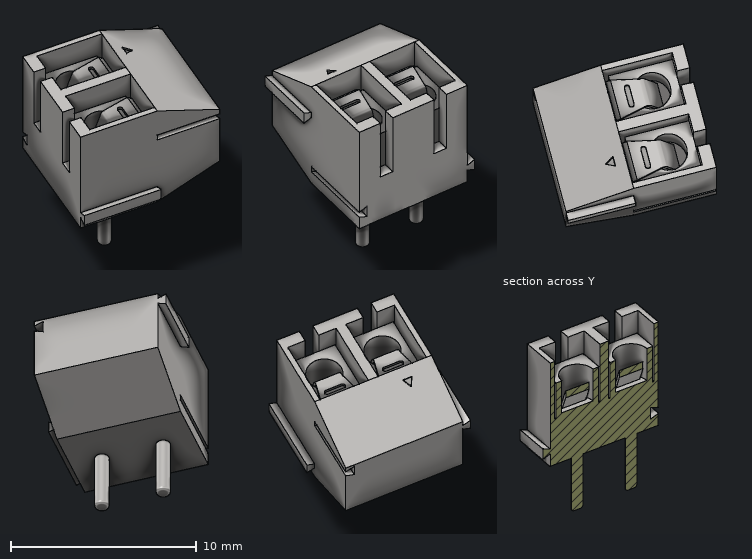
import cadquery as cq
import math


body_width = 7.06
body_depth = 8.4
body_height = 6.8
shoulder_y = 4.62
slope_drop = 1.47
pole_pitch = 3.5
pole_positions = [-pole_pitch / 2, pole_pitch / 2]

rib_depth = 0.47
groove_depth = 0.52
dovetail_neck = 0.35
dovetail_width = 0.72
front_dovetail_z = 0.99
rear_dovetail_z = 4.81

pocket_width = 2.91
pocket_front_y = 0.71
pocket_floor_z = 3.01
slot_width = 0.81

cage_width = 2.79
cage_back_y = 4.3
cage_top_z = 5.35
well_radius = 1.01
well_y = 2.21

plate_thickness = 0.16
plate_wide = 2.22
plate_narrow = 1.53
lip_back_y = 4.51
lip_front_y = 4.25
bend_start_y = 2.74
tongue_end_y = 1.73
tongue_angle = 70.0
bend_radius = 0.27
plate_slot_length = 1.24
plate_slot_width = 0.29
plate_slot_y = 3.49

bush_radius = plate_narrow / 2
bush_z = 4.12

pin_radius = 0.4
pin_length = 3.5
pin_y = 2.32
pin_tip_radius = 0.2

mark_width = 0.54
mark_length = 0.47
mark_base_y = 5.26
mark_depth = 0.1

tongue_slope = math.radians(tongue_angle)
plate_top_z = cage_top_z + plate_thickness
bend_center_z = plate_top_z - bend_radius
bend_end_y = bend_start_y - bend_radius * math.sin(tongue_slope)
bend_end_z = bend_center_z + bend_radius * math.cos(tongue_slope)
well_floor_z = bend_end_z - (bend_end_y - tongue_end_y) * math.tan(tongue_slope)


def block(x_center, width, y_start, y_end, z_start, z_end):
    """Box centred on x_center and spanning the given Y and Z ranges."""
    return cq.Workplane("XY").box(
        width, y_end - y_start, z_end - z_start, centered=(True, False, False)
    ).translate((x_center, y_start, z_start))


def extrude_along_x(profile, width):
    """Extrude a YZ profile symmetrically about X = 0."""
    return profile.extrude(width / 2, both=True)


def dovetail(neck_x, depth, z_center, y_start, y_end):
    """Bar along Y that widens from its neck towards +X, or -X for a negative depth."""
    half_neck = dovetail_neck / 2
    half_width = dovetail_width / 2
    return (
        cq.Workplane("XZ", origin=(neck_x, y_start, z_center))
        .moveTo(0, -half_neck)
        .lineTo(depth, -half_width)
        .lineTo(depth, half_width)
        .lineTo(0, half_neck)
        .close()
        .extrude(y_start - y_end)
    )


def housing():
    profile = cq.Workplane("YZ").polyline([
        (0, 0),
        (shoulder_y, 0),
        (body_depth, slope_drop),
        (body_depth, body_height - slope_drop),
        (shoulder_y, body_height),
        (0, body_height),
    ]).close()
    side_x = body_width / 2
    front = (front_dovetail_z, 0, shoulder_y)
    rear = (rear_dovetail_z, shoulder_y, body_depth)
    return (
        extrude_along_x(profile, body_width)
        .union(dovetail(-side_x, -rib_depth, *rear))
        .union(dovetail(side_x, rib_depth, *front))
        .cut(dovetail(-side_x, groove_depth, *front))
        .cut(dovetail(side_x, -groove_depth, *rear))
    )


def pole_opening(x):
    pocket = block(x, pocket_width, pocket_front_y, shoulder_y, pocket_floor_z, body_height)
    slot = block(x, slot_width, 0, pocket_front_y, pocket_floor_z, body_height)
    return pocket.union(slot)


def bend_point(radius, turn):
    """Point (Y, Z) on the bend at the given radius, after turning down from level."""
    return (bend_start_y - radius * math.sin(turn), bend_center_z + radius * math.cos(turn))


def clamp_plate():
    """Bent plate on the cage, narrowing towards the tongue that reaches the well floor."""
    inner_radius = bend_radius - plate_thickness
    tongue_back_y = tongue_end_y + plate_thickness / math.sin(tongue_slope)
    profile = (
        cq.Workplane("YZ")
        .moveTo(lip_back_y, cage_top_z)
        .lineTo(lip_front_y, plate_top_z)
        .lineTo(bend_start_y, plate_top_z)
        .threePointArc(bend_point(bend_radius, tongue_slope / 2), (bend_end_y, bend_end_z))
        .lineTo(tongue_end_y, well_floor_z)
        .lineTo(tongue_back_y, well_floor_z)
        .lineTo(*bend_point(inner_radius, tongue_slope))
        .threePointArc(bend_point(inner_radius, tongue_slope / 2), (bend_start_y, cage_top_z))
        .close()
    )
    outline = (
        cq.Workplane("XY", origin=(0, 0, well_floor_z))
        .polyline([
            (-plate_wide / 2, lip_back_y),
            (-plate_wide / 2, lip_front_y),
            (-plate_narrow / 2, bend_start_y),
            (-plate_narrow / 2, tongue_end_y),
            (plate_narrow / 2, tongue_end_y),
            (plate_narrow / 2, bend_start_y),
            (plate_wide / 2, lip_front_y),
            (plate_wide / 2, lip_back_y),
        ])
        .close()
        .extrude(plate_top_z - well_floor_z)
    )
    slot = (
        cq.Workplane("XY", origin=(0, plate_slot_y, cage_top_z))
        .slot2D(plate_slot_length, plate_slot_width)
        .extrude(plate_thickness)
    )
    return extrude_along_x(profile, plate_wide).intersect(outline).cut(slot)


def terminal():
    """Cage, clamp plate and bush of one pole, centred on X = 0."""
    cage = block(0, cage_width, pocket_front_y, cage_back_y, pocket_floor_z, cage_top_z)
    well = (
        cq.Workplane("XY", origin=(0, well_y, well_floor_z))
        .circle(well_radius)
        .extrude(cage_top_z - well_floor_z)
    )
    bush = (
        cq.Workplane("XZ", origin=(0, cage_back_y, bush_z))
        .circle(bush_radius)
        .extrude(cage_back_y - shoulder_y)
    )
    return cage.cut(well).union(clamp_plate()).union(bush)


def solder_pin(x):
    return (
        cq.Workplane("XY", origin=(x, pin_y, 0))
        .circle(pin_radius)
        .extrude(-pin_length)
        .faces("<Z")
        .edges()
        .fillet(pin_tip_radius)
    )


def pole_mark(x):
    """Triangular prism that reaches mark_depth below the sloped roof at its base."""
    roof_slope = slope_drop / (body_depth - shoulder_y)
    roof_z = body_height - (mark_base_y - shoulder_y) * roof_slope
    slope_angle = math.degrees(math.atan(roof_slope))
    length_on_roof = mark_length / math.cos(math.radians(slope_angle))
    return (
        cq.Workplane("XY")
        .polyline([(-mark_width / 2, 0), (mark_width / 2, 0), (0, length_on_roof)])
        .close()
        .extrude(-mark_depth)
        .rotate((0, 0, 0), (1, 0, 0), -slope_angle)
        .translate((x, mark_base_y, roof_z))
    )


result = housing().cut(pole_mark(pole_positions[0]))
for pole_x in pole_positions:
    result = (
        result.cut(pole_opening(pole_x))
        .union(terminal().translate((pole_x, 0, 0)))
        .union(solder_pin(pole_x))
    )